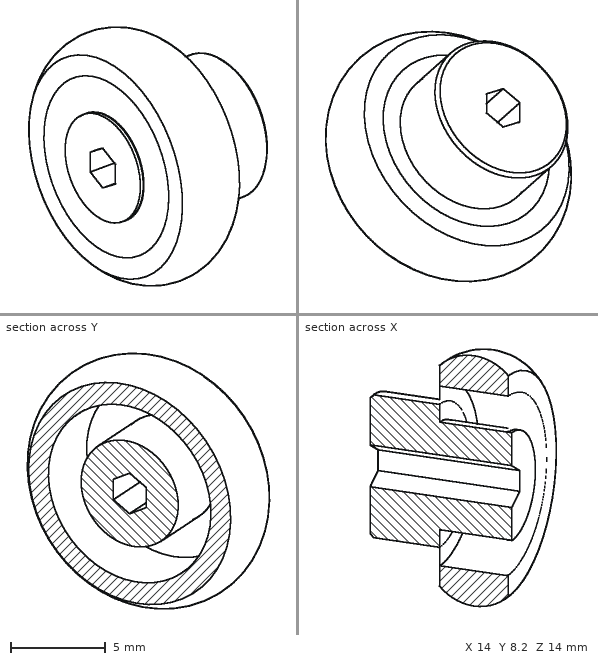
import cadquery as cq
import math


roller_diameter = 14.0
roller_width = 4.0
crown_radius = 2.8

cavity_diameter = 10.0
cavity_wall = 0.05

pin_diameter = 6.03
pin_projection = 0.2
shoulder_diameter = 8.0
shoulder_length = 4.0
shoulder_chamfer = 0.2
hex_across_flats = 2.0

roller_radius = roller_diameter / 2
cavity_radius = cavity_diameter / 2
pin_radius = pin_diameter / 2
shoulder_radius = shoulder_diameter / 2
front_face = -roller_width
axle_front = front_face - pin_projection
axle_length = shoulder_length - axle_front


def turned(profile):
    """Solid of revolution about Y from a closed half profile in the YZ plane."""
    return profile.revolve(360, (0, 0, 0), (1, 0, 0))


def make_roller():
    """Crowned roller bored for the axle, with a thin-walled cavity around the bore."""
    crown_rise = crown_radius - math.sqrt(crown_radius**2 - (roller_width / 2) ** 2)
    face_radius = roller_radius - crown_rise
    crown_top = (front_face / 2, roller_radius)

    half_angle = math.asin(roller_width / 2 / crown_radius) / 2
    crown_centre = roller_radius - crown_radius
    arc_radius = crown_centre + crown_radius * math.cos(half_angle)
    arc_offset = crown_radius * math.sin(half_angle)

    body = turned(
        cq.Workplane("YZ")
        .moveTo(front_face, pin_radius)
        .lineTo(front_face, face_radius)
        .threePointArc((front_face / 2 - arc_offset, arc_radius), crown_top)
        .threePointArc((front_face / 2 + arc_offset, arc_radius), (0, face_radius))
        .lineTo(0, pin_radius)
        .close()
    )
    cavity = turned(
        cq.Workplane("YZ")
        .moveTo(front_face + cavity_wall, pin_radius)
        .lineTo(front_face + cavity_wall, cavity_radius)
        .lineTo(-cavity_wall, cavity_radius)
        .lineTo(-cavity_wall, pin_radius)
        .close()
    )
    return body.cut(cavity)


def make_axle():
    """Stepped axle: a pin through the roller and a wider shoulder behind it."""
    body = turned(
        cq.Workplane("YZ")
        .moveTo(axle_front, 0)
        .lineTo(axle_front, pin_radius)
        .lineTo(0, pin_radius)
        .lineTo(0, shoulder_radius)
        .lineTo(shoulder_length - shoulder_chamfer, shoulder_radius)
        .lineTo(shoulder_length, shoulder_radius - shoulder_chamfer)
        .lineTo(shoulder_length, 0)
        .close()
    )
    return body.cut(make_hex_socket())


def make_hex_socket():
    """Hexagonal through hole along Y with two corners on the Z axis."""
    corner_radius = hex_across_flats / math.sqrt(3)
    corners = [
        (corner_radius * math.sin(k * math.pi / 3), corner_radius * math.cos(k * math.pi / 3))
        for k in range(6)
    ]
    return (
        cq.Workplane("XZ", origin=(0, axle_front, 0))
        .polyline(corners)
        .close()
        .extrude(-axle_length)
    )


roller = make_roller()
axle = make_axle()

result = cq.Compound.makeCompound([roller.val(), axle.val()])